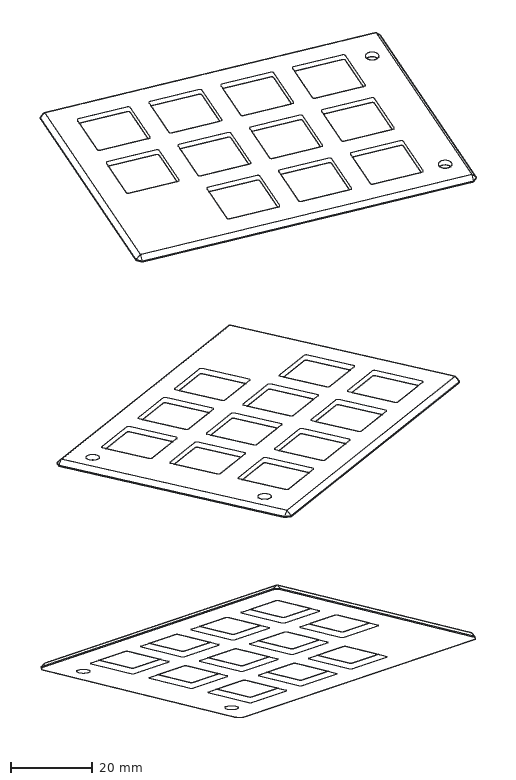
import cadquery as cq

length_x = 65.4
length_y = 90.4
thickness = 1.5

rim_height = 0.3
bevel = thickness - rim_height
corner_cut = bevel
corner_cutter_size = 4 * bevel

key_opening = 14.0
key_corner_radius = 0.5
key_pitch = 19.05
top_row_y = 26.45
keys_per_row = [3, 3, 3, 2]
first_column_x = -key_pitch

hole_diameter = 3.3
hole_spacing = 48.0
hole_pair_x = 1.125
hole_y = 39.5


def make_corner_cutters():
    """Blocks whose inner faces slope equally in X, Y and Z through each corner of the top face."""
    cutters = cq.Workplane("XY")
    for side_x in (-1, 1):
        for side_y in (-1, 1):
            top_corner = (side_x * (length_x / 2 - bevel), side_y * (length_y / 2 - bevel), thickness)
            facet_plane = cq.Plane(
                origin=top_corner,
                xDir=(side_x, -side_y, 0),
                normal=(side_x, side_y, 1),
            )
            cutters = cutters.add(
                cq.Workplane(facet_plane)
                .rect(corner_cutter_size, corner_cutter_size)
                .extrude(corner_cutter_size)
            )
    return cutters.combine()


def make_plate():
    """Plate with a bevelled top border; each corner is clipped and has a sloping triangular facet."""
    clipped_outline = (
        cq.Workplane("XY")
        .rect(length_x, length_y)
        .extrude(thickness)
        .edges("|Z")
        .chamfer(corner_cut)
    )
    return (
        cq.Workplane("XY")
        .rect(length_x, length_y)
        .extrude(thickness)
        .faces(">Z")
        .chamfer(bevel)
        .intersect(clipped_outline)
        .cut(make_corner_cutters())
    )


def key_centres():
    """Centres of the key openings, row by row from the top."""
    return [
        (first_column_x + column * key_pitch, top_row_y - row * key_pitch)
        for row, key_count in enumerate(keys_per_row)
        for column in range(key_count)
    ]


def make_key_openings():
    """Rounded square blocks that cut the key openings."""
    return (
        cq.Workplane("XY")
        .pushPoints(key_centres())
        .rect(key_opening, key_opening)
        .extrude(thickness)
        .edges("|Z")
        .fillet(key_corner_radius)
    )


def make_mounting_holes():
    """Cylinders that cut the two mounting holes."""
    hole_centres = [(hole_pair_x + side * hole_spacing / 2, hole_y) for side in (-1, 1)]
    return (
        cq.Workplane("XY")
        .pushPoints(hole_centres)
        .circle(hole_diameter / 2)
        .extrude(thickness)
    )


result = make_plate().cut(make_key_openings()).cut(make_mounting_holes())